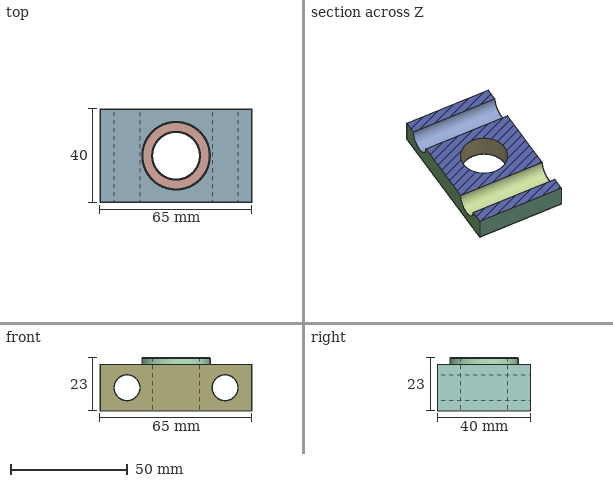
import cadquery as cq

length = 65.0
width = 40.0
block_height = 20.0

total_height = 23.0
collar_height = total_height - block_height
collar_diameter = 29.4
bore_diameter = 20.0
edge_chamfer = 0.45

cross_hole_diameter = 11.0
cross_hole_spacing = 42.0
cross_hole_z = block_height / 2


def make_block():
    """Rectangular block, centred in X and Y, resting on Z = 0."""
    return cq.Workplane("XY").box(length, width, block_height, centered=(True, True, False))


def make_collar():
    """Round collar on the top face, with a chamfered outer rim."""
    collar = cq.Workplane("XY").workplane(offset=block_height)
    collar = collar.circle(collar_diameter / 2).extrude(collar_height)
    return collar.faces(">Z").edges().chamfer(edge_chamfer)


def make_bore():
    """Through bore that widens into a chamfer at the collar's top face."""
    bore = cq.Workplane("XY").circle(bore_diameter / 2).extrude(total_height)
    mouth_radius = bore_diameter / 2 + edge_chamfer
    mouth = cq.Workplane("XY").workplane(offset=total_height)
    mouth = mouth.circle(mouth_radius).extrude(-edge_chamfer, taper=45)
    return bore.union(mouth)


def make_cross_holes():
    """Two through holes along Y, placed symmetrically about the bore."""
    half_spacing = cross_hole_spacing / 2
    return (
        cq.Workplane("XZ")
        .pushPoints([(-half_spacing, cross_hole_z), (half_spacing, cross_hole_z)])
        .circle(cross_hole_diameter / 2)
        .extrude(width / 2, both=True)
    )


result = make_block().union(make_collar()).cut(make_bore()).cut(make_cross_holes())